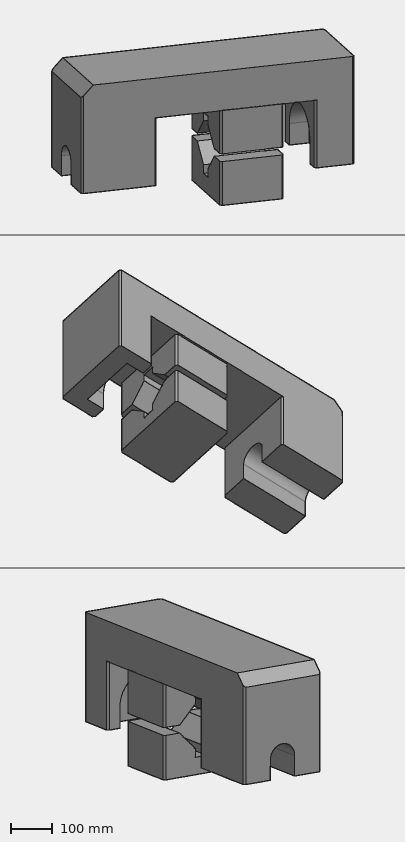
import cadquery as cq

FRAME_WIDTH = 220.0
FRAME_LENGTH = 690.0
BEAM_HEIGHT = 100.0
LEG_HEIGHT = 170.5
FRONT_LEG_LENGTH = 190.5
REAR_LEG_LENGTH = 100.0
BEAM_CHAMFER = 30.0
EDGE_CHAMFER = 5.0

JAW_WIDTH = 211.0
JAW_LENGTH = 160.0
JAW_HEIGHT = 110.5
JAW_REAR_OFFSET = 177.0
TOTAL_HEIGHT = 340.0

GROOVE_SLOT_WIDTH = 32.0
GROOVE_SLOT_DEPTH = 67.0
VEE_DEPTH = 45.5

FRONT_ARCH_WIDTH = 69.0
FRONT_ARCH_HEIGHT = 85.5
REAR_ARCH_WIDTH = 149.0
REAR_ARCH_HEIGHT = 129.0
REAR_ARCH_DEPTH = 50.0

FRONT_Y = -FRAME_LENGTH / 2
REAR_Y = FRAME_LENGTH / 2
BEAM_BOTTOM = TOTAL_HEIGHT - BEAM_HEIGHT
LEG_BOTTOM = BEAM_BOTTOM - LEG_HEIGHT
REAR_LEG_FRONT_Y = REAR_Y - REAR_LEG_LENGTH
JAW_FRONT_Y = REAR_Y - JAW_REAR_OFFSET - JAW_LENGTH
UPPER_JAW_BOTTOM = BEAM_BOTTOM - JAW_HEIGHT


def bevelled_block(width, length, height, front_y, bottom_z):
    """Block centred on X with bevelled vertical edges."""
    block = cq.Workplane("XY").box(width, length, height, centered=(True, False, False))
    return block.edges("|Z").chamfer(EDGE_CHAMFER).translate((0, front_y, bottom_z))


def arch_cutter(width, height, length, front_y):
    """Round-topped opening that rises from the foot of a leg."""
    radius = width / 2
    spring_z = height - radius
    profile = (
        cq.Workplane("XZ")
        .moveTo(-radius, 0)
        .lineTo(-radius, spring_z)
        .threePointArc((0, height), (radius, spring_z))
        .lineTo(radius, 0)
        .close()
    )
    return profile.extrude(-length).translate((0, front_y, LEG_BOTTOM))


def groove_cutter(face_z, direction):
    """Jaw groove cut from face_z; direction is +1 to cut upward, -1 downward."""
    slot_half = GROOVE_SLOT_WIDTH / 2
    mouth_half = slot_half + VEE_DEPTH
    root_z = face_z + direction * VEE_DEPTH
    floor_z = face_z + direction * GROOVE_SLOT_DEPTH
    profile = cq.Workplane("XZ").polyline([
        (-mouth_half, face_z),
        (-slot_half, root_z),
        (-slot_half, floor_z),
        (slot_half, floor_z),
        (slot_half, root_z),
        (mouth_half, face_z),
    ]).close()
    return profile.extrude(-JAW_LENGTH).translate((0, JAW_FRONT_Y, 0))


def make_jaw(bottom_z, face_z, direction):
    block = bevelled_block(JAW_WIDTH, JAW_LENGTH, JAW_HEIGHT, JAW_FRONT_Y, bottom_z)
    return block.cut(groove_cutter(face_z, direction))


def make_beam():
    beam = bevelled_block(FRAME_WIDTH, FRAME_LENGTH, BEAM_HEIGHT, FRONT_Y, BEAM_BOTTOM)
    chamfer_cutter = (
        cq.Workplane("YZ")
        .moveTo(FRONT_Y, TOTAL_HEIGHT)
        .lineTo(FRONT_Y + BEAM_CHAMFER, TOTAL_HEIGHT)
        .lineTo(FRONT_Y, TOTAL_HEIGHT - BEAM_CHAMFER)
        .close()
        .extrude(FRAME_WIDTH / 2, both=True)
    )
    return beam.cut(chamfer_cutter)


def make_front_leg():
    leg = bevelled_block(FRAME_WIDTH, FRONT_LEG_LENGTH, LEG_HEIGHT, FRONT_Y, LEG_BOTTOM)
    return leg.cut(arch_cutter(FRONT_ARCH_WIDTH, FRONT_ARCH_HEIGHT, FRONT_LEG_LENGTH, FRONT_Y))


def make_rear_leg():
    """Rear leg with a blind arched recess facing the jaws."""
    leg = bevelled_block(FRAME_WIDTH, REAR_LEG_LENGTH, LEG_HEIGHT, REAR_LEG_FRONT_Y, LEG_BOTTOM)
    return leg.cut(arch_cutter(REAR_ARCH_WIDTH, REAR_ARCH_HEIGHT, REAR_ARCH_DEPTH, REAR_LEG_FRONT_Y))


def make_frame():
    upper_jaw = make_jaw(UPPER_JAW_BOTTOM, UPPER_JAW_BOTTOM, 1)
    return make_beam().union(make_front_leg()).union(make_rear_leg()).union(upper_jaw)


frame = make_frame()
lower_jaw = make_jaw(0, JAW_HEIGHT, -1)

result = cq.Compound.makeCompound([*frame.solids().vals(), *lower_jaw.solids().vals()])